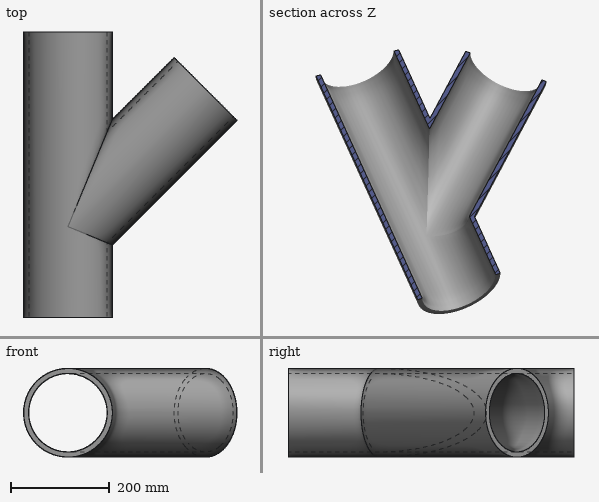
import cadquery as cq
import math

outer_diameter = 180.0
wall = 10.7
inner_diameter = outer_diameter - 2 * wall
total_length = 578.0
branch_length = 394.0
branch_angle = math.radians(45)

inlet_y = branch_length - total_length

branch_direction = cq.Vector(math.sin(branch_angle), math.cos(branch_angle), 0)


def straight_cylinder(diameter):
    """Cylinder along Y over the full length of the straight pipe."""
    start = cq.Vector(0, inlet_y, 0)
    return cq.Workplane(cq.Solid.makeCylinder(diameter / 2, total_length, start, cq.Vector(0, 1, 0)))


def branch_cylinder(diameter):
    """Cylinder along the branch axis, from the axis crossing to the branch end."""
    start = cq.Vector(0, 0, 0)
    return cq.Workplane(cq.Solid.makeCylinder(diameter / 2, branch_length, start, branch_direction))


def wye(diameter):
    """Both cylinders of one diameter joined into a single body."""
    return straight_cylinder(diameter).union(branch_cylinder(diameter))


result = wye(outer_diameter).cut(wye(inner_diameter))